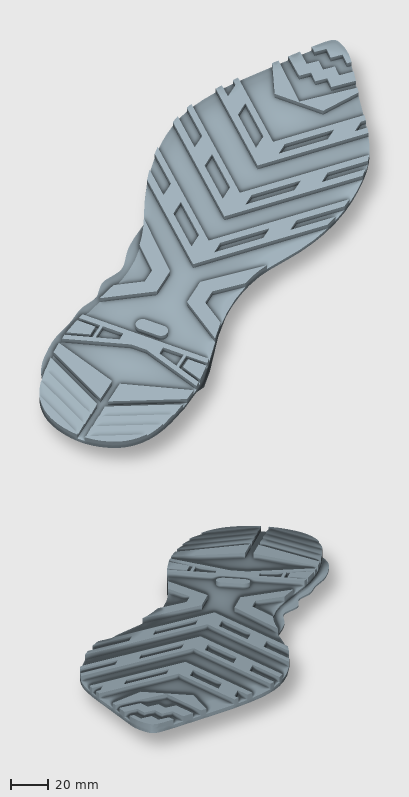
import cadquery as cq
import math

base_height = 2.0
tread_height = 3.0
flange_height = 1.0
total_height = 12.5
sole_height = base_height + tread_height
pad_depth = total_height - sole_height

reach = 64.0
slab_length = 352.0

sole_outline = [
    (0, 159.5), (7.7, 155.0), (16.5, 143.5), (29.5, 125.7), (42.0, 108.5), (51.0, 91.2),
    (54.5, 73.5), (55.0, 56.0), (51.8, 33.5), (43.2, 10.2), (35.0, -7.0), (30.7, -25.5),
    (30.5, -41.5), (34.0, -64), (39.0, -88.0), (40.0, -105.5), (38.0, -123.2), (33.0, -140.8),
    (23.0, -153.0), (10.2, -158.7), (0, -160), (-10.2, -158.7), (-23.7, -153.0), (-33.5, -141.5),
    (-38.5, -123.5), (-40.0, -105.5), (-39.0, -88.0), (-34.2, -64), (-30.5, -41.5), (-31.0, -25.5),
    (-36.0, -7.0), (-43.8, 10.2), (-51.5, 33.5), (-55.0, 59.2), (-52.8, 80), (-46.0, 97.3),
    (-36.0, 114.2), (-19.8, 138.0), (-7.7, 155.0),
]

flange_edge = [
    (-38.0, -3.2), (-38.5, -14.5), (-37.5, -24.5), (-35.0, -38.5), (-39.7, -51.2), (-38.0, -61.5),
    (-41.5, -71.7), (-42.5, -83.2), (-44.8, -95.5), (-44.8, -108.8), (-43.0, -119.3), (-37.8, -128.5),
]

zigzag_middle = 1.3
zigzag_step = 4.8
zigzag_pitch = 9.5
zigzag_left_arm_slope = 0.9
first_zigzag_valley = 147.2
toe_plate_rear = 110.5
toe_plate_notch = 111.0
toe_plate_notch_slope = 0.96
toe_plate_half_width = 14.5
toe_plate_flare = 1.8

chevron_tips = [78.5, 37.0, -1.5]
chevron_width = 19.2
left_slope = 0.92
right_slope = 1.09
pocket_start = 6.5
pocket_end = 25.5
outer_pocket_start = 36.0
left_pocket_inset = 4.5
left_pocket_width = 9.3
right_pocket_inset = 5.8
right_pocket_width = 7.7

band_inner_x = 9.0
band_front = -30.7
band_rear = -47.0
band_width = 9.0
band_recess_front = -34.2
band_recess_rear = -43.2
band_front_slope = 0.98
band_rear_slope = 0.7

button_length = 18.5
button_width = 7.7
button_y = -72.0

bar_front = -79.5
bar_rear = -88.0
bar_flat_half_width = 4.5
bar_slope = 0.345
bar_front_rim = 3.2
bar_rear_rim = 3.2
bar_pocket_start = 11.8
bar_pocket_end = 24.0
bar_groove_start = 25.5
bar_groove_width = 2.0

heel_gap = 2.2
front_block_front = -116.5
front_block_rear = -131.0
front_block_front_slope = 0.34
heel_slope = 0.53
rear_block_front = -135.0
ramp_count = 3
ramp_pitch = 8.0
ramp_drop = 1.0

pad_inner_edge = [(30.5, -41.5), (30.0, -57.5), (30.5, -70.5), (32, -78.5), (34.0, -89.5), (35.2, -102.5)]
pad_front = -44.8
pad_knee = -57.5
pad_knee_depth = 1.3
pad_bottom_front = -77.5
pad_bottom_rear = -89.0
pad_rear = -100.5


def sole_column(bottom, height):
    """The sole outline as a solid between two levels."""
    wire = cq.Workplane("XY").workplane(offset=bottom).spline(sole_outline, periodic=True)
    return wire.close().extrude(height)


def raised(points):
    """A closed polygon as a piece of tread."""
    return cq.Workplane("XY").workplane(offset=base_height).polyline(points).close().extrude(tread_height)


def both_sides(piece):
    return piece.union(piece.mirror("YZ"))


def slanted_strip(x_start, x_end, y_front, y_rear, front_slope, rear_slope):
    """A piece between two slanted lines; the y values hold where the lines meet x = 0."""
    return raised([
        (x_start, y_front + front_slope * abs(x_start)),
        (x_end, y_front + front_slope * abs(x_end)),
        (x_end, y_rear + rear_slope * abs(x_end)),
        (x_start, y_rear + rear_slope * abs(x_start)),
    ])


def zigzag_line(valley):
    """Two teeth between three valleys, with straight arms running outward past the edge."""
    steps = [(zigzag_middle + i * zigzag_step, valley + zigzag_step * (i % 2)) for i in range(-2, 3)]
    arm = reach - 2 * zigzag_step
    left_end = (zigzag_middle - reach, valley + zigzag_left_arm_slope * arm)
    right_end = (zigzag_middle + reach, valley + arm)
    return [left_end] + steps + [right_end]


def toe():
    first, second, third = [zigzag_line(first_zigzag_valley - i * zigzag_pitch) for i in range(3)]
    tip = raised(first)
    step_band = raised(second + third[::-1])
    sides_at_middle = toe_plate_rear - toe_plate_flare * toe_plate_half_width
    corner_x = (toe_plate_notch - sides_at_middle) / (toe_plate_flare - toe_plate_notch_slope)
    corner_y = toe_plate_notch + toe_plate_notch_slope * corner_x
    plate = raised([
        (0, toe_plate_notch),
        (corner_x, corner_y),
        (toe_plate_half_width, toe_plate_rear),
        (-toe_plate_half_width, toe_plate_rear),
        (-corner_x, corner_y),
    ])
    return tip.union(step_band).union(plate)


def chevron_arm(side, tip, slope, inset, pocket_width):
    arm = slanted_strip(0, side * reach, tip, tip - chevron_width, slope, slope)
    pocket_front = tip - inset
    for start, end in [(pocket_start, pocket_end), (outer_pocket_start, reach)]:
        arm = arm.cut(slanted_strip(side * start, side * end, pocket_front, pocket_front - pocket_width,
                                    slope, slope))
    return arm


def chevron(tip):
    left = chevron_arm(-1, tip, left_slope, left_pocket_inset, left_pocket_width)
    right = chevron_arm(1, tip, right_slope, right_pocket_inset, right_pocket_width)
    return left.union(right)


def bent_plate(inner_x, front, rear):
    """A plate with a straight inner edge, widening toward the side of the sole."""
    run = reach - inner_x
    return raised([
        (inner_x, front),
        (reach, front + band_front_slope * run),
        (reach, rear - band_rear_slope * run),
        (inner_x, rear),
    ])


def waist_bands():
    plate = bent_plate(band_inner_x, band_front, band_rear)
    recess = bent_plate(band_inner_x + band_width, band_recess_front, band_recess_rear)
    return both_sides(plate.cut(recess))


def button():
    button_plane = cq.Workplane("XY").workplane(offset=base_height).center(0, button_y)
    return button_plane.slot2D(button_length, button_width).extrude(tread_height)


def crossbar():
    rear_line = bar_rear + bar_slope * bar_flat_half_width
    pocket_front = bar_front - bar_front_rim
    pocket_rear = rear_line + bar_rear_rim
    half = raised([
        (0, bar_front),
        (reach, bar_front),
        (reach, rear_line - bar_slope * reach),
        (bar_flat_half_width, bar_rear),
        (0, bar_rear),
    ])
    pocket = slanted_strip(bar_pocket_start, bar_pocket_end, pocket_front, pocket_rear, 0, -bar_slope)
    recess = slanted_strip(bar_groove_start, reach, pocket_front, pocket_rear, 0, -bar_slope)
    island = slanted_strip(bar_groove_start + bar_groove_width, reach, pocket_front - bar_groove_width,
                           pocket_rear + bar_groove_width, 0, -bar_slope)
    return both_sides(half.cut(pocket).cut(recess).union(island))


def heel_ramp(index):
    """Wedge removed from the top of the heel so that each strip slopes down toward the rear."""
    angle = math.atan(heel_slope)
    along = (math.cos(angle), math.sin(angle), 0)
    rearward = (math.sin(angle), -math.cos(angle), 0)
    strip_width = ramp_pitch * math.cos(angle)
    start = (heel_gap, rear_block_front - index * ramp_pitch, sole_height)
    profile = cq.Workplane(cq.Plane(start, rearward, along)).workplane(offset=-ramp_pitch)
    wedge = profile.polyline([(0, 0), (strip_width, 0), (strip_width, ramp_drop)]).close()
    return wedge.extrude(reach)


def heel_blocks():
    front_block = raised([
        (heel_gap, front_block_front),
        (reach, front_block_front + front_block_front_slope * (reach - heel_gap)),
        (reach, front_block_rear + heel_slope * (reach - heel_gap)),
        (heel_gap, front_block_rear),
    ])
    rear_block = raised([
        (heel_gap, rear_block_front),
        (reach, rear_block_front + heel_slope * (reach - heel_gap)),
        (reach, -slab_length / 2),
        (heel_gap, -slab_length / 2),
    ])
    for index in range(ramp_count):
        rear_block = rear_block.cut(heel_ramp(index))
    return both_sides(front_block.union(rear_block))


def flange():
    edge = cq.Workplane("XY").moveTo(*flange_edge[0]).spline(flange_edge[1:], includeCurrent=True)
    return edge.lineTo(0, flange_edge[-1][1]).lineTo(0, flange_edge[0][1]).close().extrude(flange_height)


def pad():
    """Wedge between a curved inner face and the outer edge of the sole."""
    side = cq.Workplane("YZ").polyline([
        (pad_front, 0),
        (pad_knee, -pad_knee_depth),
        (pad_bottom_front, -pad_depth),
        (pad_bottom_rear, -pad_depth),
        (pad_rear, 0),
    ]).close().extrude(reach)
    plan = cq.Workplane("XY").workplane(offset=-pad_depth).moveTo(*pad_inner_edge[0])
    plan = plan.spline(pad_inner_edge[1:], includeCurrent=True)
    plan = plan.lineTo(reach, pad_inner_edge[-1][1]).lineTo(reach, pad_inner_edge[0][1]).close()
    return side.intersect(plan.extrude(pad_depth)).intersect(sole_column(-pad_depth, pad_depth))


tread = toe().union(waist_bands()).union(button()).union(crossbar()).union(heel_blocks())
for chevron_tip in chevron_tips:
    tread = tread.union(chevron(chevron_tip))

grooves = cq.Workplane("XY").workplane(offset=base_height).rect(2 * reach, slab_length).extrude(tread_height)
grooves = grooves.cut(tread)

result = sole_column(0, sole_height).cut(grooves).union(flange()).union(pad())